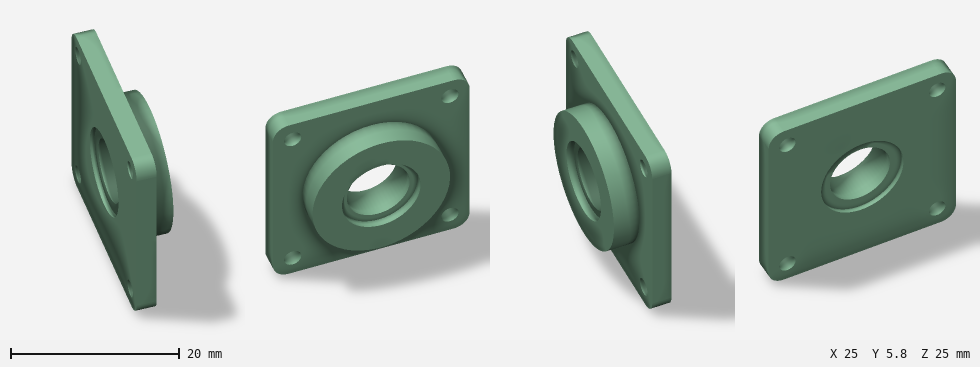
import cadquery as cq

plate_side = 25.0
plate_thickness = 2.5
corner_radius = 2.0

boss_diameter = 17.5
boss_height = 3.3

bore_diameter = 8.0
front_recess_diameter = 11.0
front_recess_depth = 0.6
rear_recess_diameter = 10.0
rear_recess_depth = 1.0

screw_hole_diameter = 2.2
screw_hole_spacing = 20.0

total_depth = plate_thickness + boss_height


def cylinder_along_y(diameter, start_y, length, x=0.0, z=0.0):
    """Cylinder running toward +Y from start_y."""
    base = cq.Vector(x, start_y, z)
    return cq.Workplane(cq.Solid.makeCylinder(diameter / 2, length, base, cq.Vector(0, 1, 0)))


def make_plate():
    """Square plate with rounded corners."""
    plate = cq.Workplane("XY").box(plate_side, plate_thickness, plate_side)
    plate = plate.translate((0, plate_thickness / 2, 0))
    return plate.edges("|Y").fillet(corner_radius)


def add_boss(body):
    return body.union(cylinder_along_y(boss_diameter, plate_thickness, boss_height))


def cut_bore(body):
    """Bore through plate and boss, and the recesses around its two ends."""
    body = body.cut(cylinder_along_y(bore_diameter, 0, total_depth))
    body = body.cut(cylinder_along_y(front_recess_diameter, 0, front_recess_depth))
    rear_recess_start = total_depth - rear_recess_depth
    return body.cut(cylinder_along_y(rear_recess_diameter, rear_recess_start, rear_recess_depth))


def cut_screw_holes(body):
    offset = screw_hole_spacing / 2
    for x in (-offset, offset):
        for z in (-offset, offset):
            body = body.cut(cylinder_along_y(screw_hole_diameter, 0, plate_thickness, x, z))
    return body


result = cut_screw_holes(cut_bore(add_boss(make_plate())))